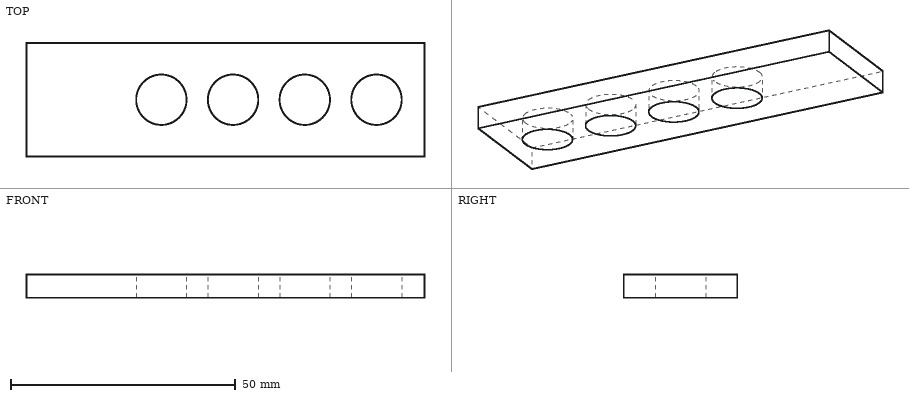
import cadquery as cq

length = 88.9
width = 25.4
thickness = 5.25

hole_diameter = 11.2
hole_count = 4
hole_pitch = 16.0
end_distance = 10.8

last_hole_x = length / 2 - end_distance
hole_centres = [(last_hole_x - i * hole_pitch, 0) for i in range(hole_count)]

bar = cq.Workplane("XY").box(length, width, thickness)
result = bar.faces(">Z").workplane().pushPoints(hole_centres).hole(hole_diameter)